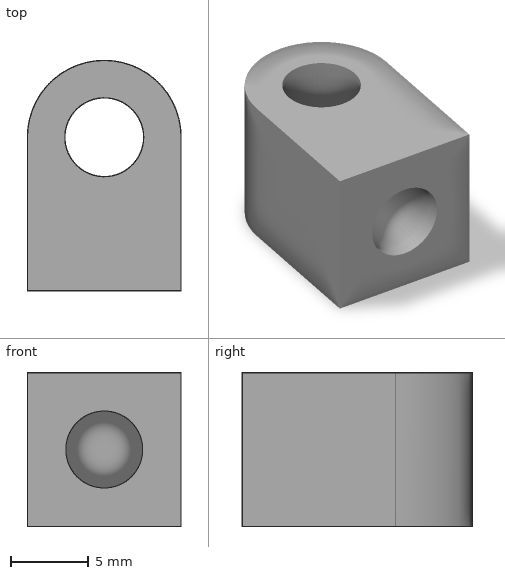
import cadquery as cq

length = 14.96
width = 10.0
height = width
cross_hole_diameter = 5.1
front_hole_diameter = 5.0
front_hole_depth = 5.98

end_radius = width / 2
front_y = -length / 2
arc_center_y = length / 2 - end_radius


def lug_body():
    """Block with a flat front face and a full-round back end."""
    return (
        cq.Workplane("XY")
        .moveTo(-width / 2, front_y)
        .lineTo(width / 2, front_y)
        .lineTo(width / 2, arc_center_y)
        .threePointArc((0, length / 2), (-width / 2, arc_center_y))
        .close()
        .extrude(height / 2, both=True)
    )


def cross_hole():
    """Vertical through hole, concentric with the round end."""
    return (
        cq.Workplane("XY")
        .center(0, arc_center_y)
        .circle(cross_hole_diameter / 2)
        .extrude(height / 2, both=True)
    )


def front_hole():
    """Flat-bottomed blind hole in the middle of the front face."""
    return (
        cq.Workplane("XZ", origin=(0, front_y, 0))
        .circle(front_hole_diameter / 2)
        .extrude(-front_hole_depth)
    )


result = lug_body().cut(cross_hole()).cut(front_hole())